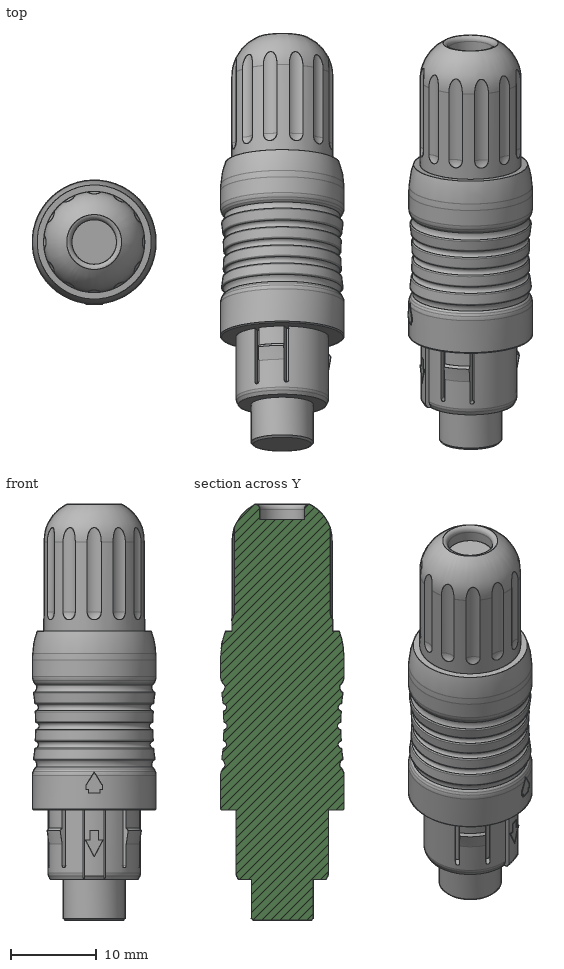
import cadquery as cq
import math

total_height = 48.6

pin_radius = 3.65
pin_chamfer = 0.25

plug_bottom = 4.75
plug_radius = 10.85 / 2
plug_chamfer_width = 0.3
plug_chamfer_height = 0.45
plug_edge_round_width = 0.075
plug_edge_round_height = 0.35
plug_edge_bulge = 0.015

lower_collar_bottom = 12.9
collar_radius = 7.25
collar_chamfer = 0.15

lip_outer_round = (0.1, 0.5)
lip_cone = (0.15, 0.3)
lip_inner_round = (0.25, 0.25)
lip_bulge = 0.02

ring_count = 4
ring_pitch = 2.2
ring_height = 1.4
groove_height = ring_pitch - ring_height
groove_depth = 0.4
ring_edge_round = 0.15
first_ring_bottom = 18.7
waist_radius = 6.85
waist_end_radius = 7.1

shoulder_start = 30.4
shoulder_blend_width = 0.05
shoulder_blend_height = 0.8
shoulder_top = 33.8
shoulder_radius = 6.65
shoulder_bulge = 0.12

cap_radius = 11.8 / 2
dome_start = 44.2
rim_radius = 3.2
bore_radius = 5.2 / 2
bore_floor = 46.8
rim_round = rim_radius - bore_radius

flute_count = 12
flute_bottom = 36.05
flute_width = 1.65
flute_depth = 0.3

key_width = 2.3
key_radius = 5.8
key_gap_width = 0.17
key_gap_floor_radius = 5.05

latch_angles = (90, 210, 330)
slot_spacing = 3.55
slot_width = 0.5
slot_bottom = 6.17
slot_floor_radius = 4.4
latch_top = 10.8
latch_ridge = 10.5
latch_bottom = 8.9
latch_radius = 5.7

key_arrow_face = 5.85
collar_arrow_face = 7.3

slot_offset = slot_spacing / 2
plug_chamfer_top = plug_bottom + plug_chamfer_height
waist_half_height = (ring_count * ring_pitch - groove_height) / 2
waist_middle = first_ring_bottom + waist_half_height
diagonal = math.sqrt(0.5)
lip_radius = collar_radius - lip_outer_round[0] - lip_cone[0] - lip_inner_round[0]
lip_height = lip_outer_round[1] + lip_cone[1] + lip_inner_round[1]
lower_lip_end = first_ring_bottom - groove_height
upper_lip_start = waist_middle + waist_half_height + groove_height


def waist_at(z):
    """Radius of the concave envelope that the grip rings follow."""
    rise = (z - waist_middle) / waist_half_height
    return waist_radius + (waist_end_radius - waist_radius) * rise**2


def round_corner(profile, start, corner, end):
    """Add a quarter circle from start to end that stays inside the given corner."""
    centre = (start[0] + end[0] - corner[0], start[1] + end[1] - corner[1])
    middle = (
        centre[0] + diagonal * (corner[0] - centre[0]),
        centre[1] + diagonal * (corner[1] - centre[1]),
    )
    return profile.threePointArc(middle, end)


def collar_lip():
    """Points on the lip of the lower collar, from its full radius in to the first groove."""
    points = [(collar_radius, lower_lip_end - lip_height)]
    for width, height in (lip_outer_round, lip_cone, lip_inner_round):
        radius, z = points[-1]
        points.append((radius - width, z + height))
    return points


def lip_arc_middle(start, end):
    """Middle point of a lip arc that bulges slightly outwards."""
    return ((start[0] + end[0]) / 2 + lip_bulge, (start[1] + end[1]) / 2)


def add_lip(profile, points):
    """Follow a collar lip from its first point: gentle arc, cone, gentle arc."""
    start, cone_start, cone_end, end = points
    return (
        profile.threePointArc(lip_arc_middle(start, cone_start), cone_start)
        .lineTo(*cone_end)
        .threePointArc(lip_arc_middle(cone_end, end), end)
    )


def add_groove(profile, bottom, end_radius):
    """Add one rounded groove above the given height, ending at the given radius."""
    middle = bottom + groove_height / 2
    floor_radius = waist_at(middle) - groove_depth
    return profile.threePointArc((floor_radius, middle), (end_radius, bottom + groove_height))


def add_ring(profile, bottom):
    """Add one grip ring with both of its edges rounded."""
    top = bottom + ring_height
    low_radius = waist_at(bottom)
    high_radius = waist_at(top)
    low_start = (low_radius - ring_edge_round, bottom)
    low_end = (low_radius, bottom + ring_edge_round)
    high_start = (high_radius, top - ring_edge_round)
    high_end = (high_radius - ring_edge_round, top)
    profile = round_corner(profile, low_start, (low_radius, bottom), low_end)
    profile = profile.lineTo(*high_start)
    return round_corner(profile, high_start, (high_radius, top), high_end)


def make_body():
    """Revolve the outline of pin, plug, collars, grip rings and domed cap."""
    plug_edge_middle = (
        plug_radius - plug_edge_round_width / 2 + plug_edge_bulge,
        plug_chamfer_top + plug_edge_round_height / 2,
    )
    profile = (
        cq.Workplane("XZ")
        .moveTo(0, 0)
        .lineTo(pin_radius - pin_chamfer, 0)
        .lineTo(pin_radius, pin_chamfer)
        .lineTo(pin_radius, plug_bottom)
        .lineTo(plug_radius - plug_chamfer_width, plug_bottom)
        .lineTo(plug_radius - plug_edge_round_width, plug_chamfer_top)
        .threePointArc(plug_edge_middle, (plug_radius, plug_chamfer_top + plug_edge_round_height))
        .lineTo(plug_radius, lower_collar_bottom)
        .lineTo(collar_radius - collar_chamfer, lower_collar_bottom)
        .lineTo(collar_radius, lower_collar_bottom + collar_chamfer)
    )

    lower_lip = collar_lip()
    upper_lip = [(radius, 2 * waist_middle - z) for radius, z in reversed(lower_lip)]

    profile = add_lip(profile.lineTo(*lower_lip[0]), lower_lip)
    for index in range(ring_count):
        ring_bottom = first_ring_bottom + index * ring_pitch
        groove_end_radius = waist_at(ring_bottom) - ring_edge_round
        profile = add_groove(profile, ring_bottom - groove_height, groove_end_radius)
        profile = add_ring(profile, ring_bottom)
    profile = add_groove(profile, upper_lip_start - groove_height, lip_radius)
    profile = add_lip(profile, upper_lip)

    dome_height = total_height - dome_start
    dome_inset = cap_radius - rim_radius
    dome_arc_radius = (dome_inset**2 + dome_height**2) / (2 * dome_inset)
    dome_half_angle = math.asin(dome_height / dome_arc_radius) / 2
    dome_middle = (
        cap_radius - dome_arc_radius * (1 - math.cos(dome_half_angle)),
        dome_start + dome_arc_radius * math.sin(dome_half_angle),
    )

    blend_middle = (collar_radius - shoulder_blend_width / 4, shoulder_start + shoulder_blend_height / 2)
    blend_end = (collar_radius - shoulder_blend_width, shoulder_start + shoulder_blend_height)
    shoulder_middle = (
        (blend_end[0] + shoulder_radius) / 2 + shoulder_bulge,
        (blend_end[1] + shoulder_top) / 2,
    )

    rim_middle = (
        rim_radius - diagonal * rim_round,
        total_height - (1 - diagonal) * rim_round,
    )
    return (
        profile.lineTo(collar_radius, shoulder_start)
        .threePointArc(blend_middle, blend_end)
        .threePointArc(shoulder_middle, (shoulder_radius, shoulder_top))
        .lineTo(cap_radius, shoulder_top)
        .lineTo(cap_radius, dome_start)
        .threePointArc(dome_middle, (rim_radius, total_height))
        .threePointArc(rim_middle, (bore_radius, total_height - rim_round))
        .lineTo(bore_radius, bore_floor)
        .lineTo(0, bore_floor)
        .close()
        .revolve(360, (0, 0), (0, 1))
    )


def make_flute():
    """Round-bottomed cutter with a ball end, for the flute on the +X side."""
    half_width = flute_width / 2
    edge_radius = math.sqrt(cap_radius**2 - half_width**2)
    floor_radius = cap_radius - flute_depth
    sagitta = edge_radius - floor_radius
    cutter_radius = (half_width**2 + sagitta**2) / (2 * sagitta)
    centre = (floor_radius + cutter_radius, 0, flute_bottom)
    shaft = cq.Workplane("XY", origin=centre).circle(cutter_radius).extrude(total_height - flute_bottom)
    ball = cq.Workplane("XY", origin=centre).sphere(cutter_radius)
    return shaft.union(ball)


def make_key():
    """Guide key along the -Y side of the plug, with its lower end chamfered like the plug."""
    profile = (
        cq.Workplane("XZ")
        .moveTo(0, plug_bottom)
        .lineTo(key_radius - plug_chamfer_width, plug_bottom)
        .lineTo(key_radius, plug_chamfer_top)
        .lineTo(key_radius, lower_collar_bottom)
        .lineTo(0, lower_collar_bottom)
        .close()
        .revolve(360, (0, 0), (0, 1))
    )
    strip = cq.Workplane("XY").box(key_width, collar_radius, total_height, centered=(True, False, False))
    return profile.intersect(strip.translate((0, -collar_radius, 0)))


def make_key_gaps():
    """Narrow gaps cut into the plug along both flanks of the key."""
    plug_height = lower_collar_bottom - plug_bottom
    gap_offset = (key_width + key_gap_width) / 2
    return (
        cq.Workplane("XY", origin=(0, 0, plug_bottom))
        .pushPoints([(side * gap_offset, -(key_gap_floor_radius + collar_radius) / 2) for side in (-1, 1)])
        .rect(key_gap_width, collar_radius - key_gap_floor_radius)
        .extrude(plug_height)
    )


def make_latch_slots():
    """Pair of parallel, round-ended slots beside the latch finger on the +X side."""
    end_centre = slot_bottom + slot_width / 2
    slot_height = lower_collar_bottom - end_centre
    slots = (
        cq.Workplane("YZ")
        .pushPoints([(side * slot_offset, end_centre + slot_height / 2) for side in (-1, 1)])
        .rect(slot_width, slot_height)
        .extrude(collar_radius)
        .union(
            cq.Workplane("YZ")
            .pushPoints([(side * slot_offset, end_centre) for side in (-1, 1)])
            .circle(slot_width / 2)
            .extrude(collar_radius)
        )
    )
    core = cq.Workplane("XY").circle(slot_floor_radius).extrude(lower_collar_bottom)
    return slots.cut(core)


def make_latch_wedge():
    """Catch on the latch finger on the +X side: a steep slope above its ridge and a long one below."""
    wedge_ring = (
        cq.Workplane("XZ")
        .moveTo(slot_floor_radius, latch_bottom)
        .lineTo(plug_radius, latch_bottom)
        .lineTo(latch_radius, latch_ridge)
        .lineTo(plug_radius, latch_top)
        .lineTo(slot_floor_radius, latch_top)
        .close()
        .revolve(360, (0, 0), (0, 1))
    )
    finger_width = 2 * slot_offset - slot_width
    finger = cq.Workplane("XY").box(collar_radius, finger_width, total_height, centered=(False, True, False))
    return wedge_ring.intersect(finger)


def make_arrow(half_outline, inner_radius, face):
    """Raised arrow on the -Y side, from the right half of its outline listed as (x, z)."""
    mirrored = [(-x, z) for x, z in reversed(half_outline) if x > 0]
    return (
        cq.Workplane("XZ", origin=(0, -inner_radius, 0))
        .polyline(half_outline + mirrored)
        .close()
        .extrude(face - inner_radius)
    )


result = make_body()

flute = make_flute()
for index in range(flute_count):
    result = result.cut(flute.rotate((0, 0, 0), (0, 0, 1), index * 360 / flute_count))

result = result.cut(make_key_gaps())
result = result.union(make_key())

latch_slots = make_latch_slots()
latch_wedge = make_latch_wedge()
for angle in latch_angles:
    result = result.cut(latch_slots.rotate((0, 0, 0), (0, 0, 1), angle))
    result = result.union(latch_wedge.rotate((0, 0, 0), (0, 0, 1), angle))

key_arrow = [(0, 7.45), (1.0, 9.4), (0.5, 9.4), (0.5, 10.5)]
result = result.union(make_arrow(key_arrow, plug_radius, key_arrow_face))

collar_arrow = [(0, 17.3), (0.95, 15.75), (0.95, 15.3), (0.7, 15.3), (0.7, 14.9)]
result = result.union(make_arrow(collar_arrow, lip_radius, collar_arrow_face))